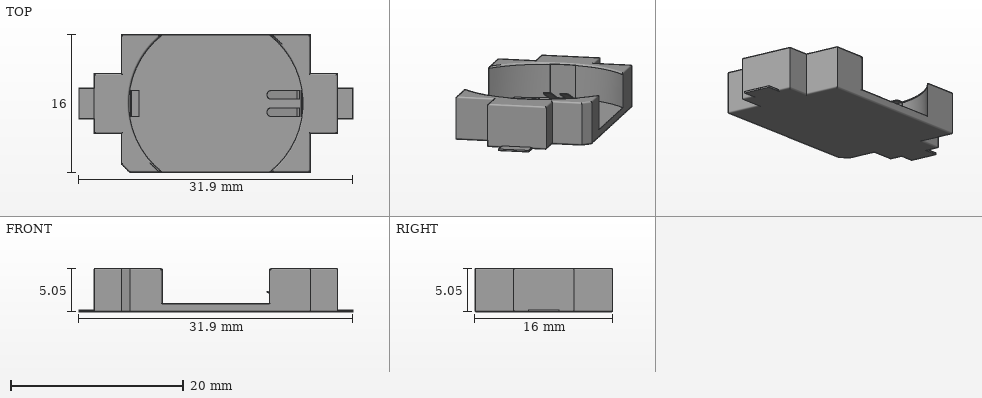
import cadquery as cq
import math

overall_length = 31.85
body_length = 21.98
body_width = 16.0
body_height = 5.05
arm_span = 28.3
arm_width = 7.0
corner_cut = 1.0
edge_radius = 0.2

pocket_radius = 10.13
floor_height = 0.95

terminal_thickness = 0.2
contact_thickness = 0.1
terminal_width = 3.57
contact_width = 3.0
contact_top = 4.95
clip_back = 9.9
spring_face_x = 9.9
finger_root_x = 9.72
clip_reach = 1.0
finger_width = 1.0
finger_tip_x = 5.95
finger_tip_height = 2.4
finger_corner_radius = 0.45


def box_between(x_min, x_max, width, z_min, z_max):
    """Box centred on Y, given by its X and Z limits."""
    box = cq.Workplane("XY").box(x_max - x_min, width, z_max - z_min, centered=(False, True, False))
    return box.translate((x_min, 0, z_min))


def make_pocket():
    """Round pocket volume that flares out at the top to round over the rim."""
    rim_outer = pocket_radius + edge_radius
    rim_start = body_height - edge_radius
    diagonal = edge_radius * math.sqrt(0.5)
    return (
        cq.Workplane("XZ")
        .moveTo(0, floor_height)
        .lineTo(pocket_radius, floor_height)
        .lineTo(pocket_radius, rim_start)
        .threePointArc((rim_outer - diagonal, rim_start + diagonal), (rim_outer, body_height))
        .lineTo(0, body_height)
        .close()
        .revolve(360, (0, 0, 0), (0, 1, 0))
    )


def make_body():
    """Cross-shaped block with one cut corner and the cell pocket."""
    main = box_between(-body_length / 2, body_length / 2, body_width, 0, body_height)
    main = main.edges("|Z and <X and <Y").chamfer(corner_cut)
    arms = box_between(-arm_span / 2, arm_span / 2, arm_width, 0, body_height)
    block = main.union(arms).faces("<Z or >Z").edges().fillet(edge_radius)

    return block.cut(make_pocket())


def make_terminals():
    """Flat strip under the body whose ends form the solder tabs."""
    return box_between(-overall_length / 2, overall_length / 2, terminal_width, 0, terminal_thickness)


def make_clip():
    """Upright plate at -X with a lip that reaches over the cell."""
    upright = box_between(-clip_back, contact_thickness - clip_back, contact_width, 0, contact_top)
    lip = box_between(
        -clip_back,
        clip_reach - clip_back,
        contact_width,
        contact_top - contact_thickness,
        contact_top,
    )
    return upright.union(lip)


def make_finger():
    """Sloping finger with rounded tip corners and a short flat foot, centred on Y."""
    run = finger_root_x - finger_tip_x
    rise = finger_tip_height - floor_height
    drop = contact_thickness * math.hypot(run, rise) / run
    strip = (
        cq.Workplane("XZ")
        .polyline([
            (finger_tip_x, finger_tip_height),
            (finger_root_x, floor_height),
            (spring_face_x, floor_height),
            (spring_face_x, floor_height - drop),
            (finger_root_x, floor_height - drop),
            (finger_tip_x, finger_tip_height - drop),
        ])
        .close()
        .extrude(finger_width / 2, both=True)
    )
    plan = box_between(finger_tip_x, spring_face_x, finger_width, 0, finger_tip_height)
    plan = plan.edges("|Z and <X").fillet(finger_corner_radius)
    return strip.intersect(plan)


def make_spring():
    """Upright plate at +X with two fingers that slope up from the floor."""
    spring_back = spring_face_x + contact_thickness
    spring = box_between(spring_face_x, spring_back, contact_width, 0, contact_top)
    finger = make_finger()
    finger_y = (contact_width - finger_width) / 2
    for side in (-1, 1):
        spring = spring.union(finger.translate((0, side * finger_y, 0)))
    return spring


result = make_body().union(make_terminals()).union(make_clip()).union(make_spring())